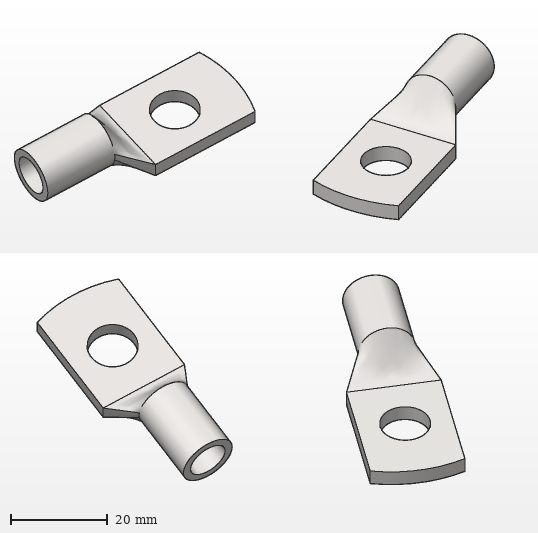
import cadquery as cq
import math

palm_width = 20.0
palm_thickness = 3.5
palm_length = 27.0
end_radius = 30.0
bolt_hole_diameter = 10.5
bolt_hole_to_end = 15.0

barrel_diameter = 12.0
bore_diameter = 8.5
barrel_length = 17.0
barrel_lift = 1.0

neck_length = 7.5
neck_steps = 4
neck_exit_slope = 1.2
barrel_flank_height = palm_thickness / 2

palm_start = barrel_length + neck_length
palm_end = palm_start + palm_length

barrel_radius = barrel_diameter / 2
barrel_axis_z = barrel_lift + barrel_radius
flank_corner_x = math.sqrt(barrel_radius**2 - (barrel_flank_height / 2) ** 2)


def make_palm():
    half_width = palm_width / 2
    end_rise = end_radius - math.sqrt(end_radius**2 - half_width**2)
    shoulder = palm_end - end_rise
    plate = (
        cq.Workplane("XY")
        .moveTo(-half_width, palm_start)
        .lineTo(half_width, palm_start)
        .lineTo(half_width, shoulder)
        .threePointArc((0, palm_end), (-half_width, shoulder))
        .close()
        .extrude(palm_thickness)
    )
    bolt_hole = (
        cq.Workplane("XY")
        .center(0, palm_end - bolt_hole_to_end)
        .circle(bolt_hole_diameter / 2)
        .extrude(palm_thickness)
    )
    return plate.cut(bolt_hole)


def make_barrel():
    return (
        cq.Workplane("XZ")
        .center(0, barrel_axis_z)
        .circle(barrel_radius)
        .circle(bore_diameter / 2)
        .extrude(-barrel_length)
    )


def blend(start, end, fraction):
    return start + (end - start) * fraction


def crown_rise(fraction):
    smooth_step = 3 * fraction**2 - 2 * fraction**3
    slope_term = fraction**3 - fraction**2
    return smooth_step + neck_exit_slope * slope_term


def neck_section(fraction):
    y = palm_start - neck_length * fraction
    rise = crown_rise(fraction)
    top_z = blend(palm_thickness, barrel_axis_z + barrel_radius, rise)
    bottom_z = blend(0, barrel_lift, rise)
    side_z = blend(palm_thickness / 2, barrel_axis_z, fraction)
    side_x = blend(palm_width / 2, barrel_radius, fraction)
    corner_x = blend(palm_width / 2, flank_corner_x, fraction)
    flank_height = blend(palm_thickness, barrel_flank_height, fraction)
    upper_z = side_z + flank_height / 2
    lower_z = side_z - flank_height / 2

    outline = [
        cq.Vector(corner_x, y, lower_z),
        cq.Vector(side_x, y, side_z),
        cq.Vector(corner_x, y, upper_z),
        cq.Vector(0, y, top_z),
        cq.Vector(-corner_x, y, upper_z),
        cq.Vector(-side_x, y, side_z),
        cq.Vector(-corner_x, y, lower_z),
        cq.Vector(0, y, bottom_z),
    ]
    edges = []
    for first in range(0, len(outline), 2):
        start = outline[first]
        middle = outline[first + 1]
        end = outline[(first + 2) % len(outline)]
        if fraction == 0:
            edges.append(cq.Edge.makeLine(start, end))
        else:
            edges.append(cq.Edge.makeThreePointArc(start, middle, end))
    return cq.Wire.assembleEdges(edges)


def make_neck():
    sections = [neck_section(step / neck_steps) for step in range(neck_steps + 1)]
    return cq.Workplane(obj=cq.Solid.makeLoft(sections))


result = make_palm().union(make_neck()).union(make_barrel())